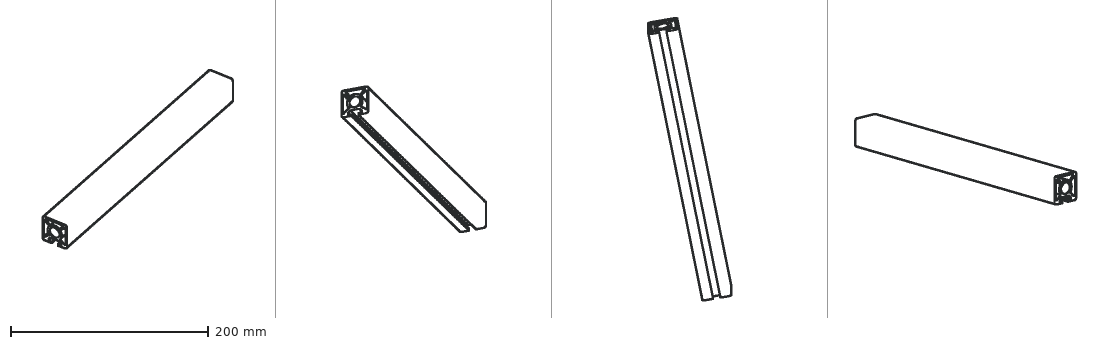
import cadquery as cq

length = 300.0
width = 30.0
corner_radius = 3.0
wall = 1.8

bore_radius = 6.0
tube_radius = 8.7

pocket_half_span = 10.5
pocket_flat_end = 1.0
pocket_depth = 8.5
pocket_inner_half_span = 4.5

slot_opening = 7.5
slot_half_width = 7.5
slot_side_height = 2.0
slot_roof_half_width = 5.0
slot_roof_z = -8.7
lip_thickness = 1.8

half_width = width / 2
inner_half = half_width - wall


def prism(outline):
    """Extrude an XZ outline along the full length, centred on Y."""
    return outline.extrude(length / 2, both=True)


def make_tube():
    return prism(cq.Workplane("XZ").circle(tube_radius))


def make_pocket(turn):
    """Pocket behind the top wall, turned about Y by the given angle."""
    taper_start = inner_half - pocket_flat_end
    pocket_bottom = inner_half - pocket_depth
    right_side = [
        (pocket_half_span, inner_half),
        (pocket_half_span, taper_start),
        (pocket_inner_half_span, pocket_bottom),
    ]
    left_side = [(-x, z) for x, z in reversed(right_side)]
    pocket = prism(cq.Workplane("XZ").polyline(right_side + left_side).close())
    return pocket.cut(make_tube()).rotate((0, 0, 0), (0, 1, 0), turn)


def make_slot():
    """T-slot with sloping shoulders, open through the bottom face."""
    slot_floor = lip_thickness - half_width
    shoulder = slot_floor + slot_side_height
    right_side = [
        (slot_opening / 2, -half_width),
        (slot_opening / 2, slot_floor),
        (slot_half_width, slot_floor),
        (slot_half_width, shoulder),
        (slot_roof_half_width, slot_roof_z),
    ]
    left_side = [(-x, z) for x, z in reversed(right_side)]
    return prism(cq.Workplane("XZ").polyline(right_side + left_side).close())


result = cq.Workplane("XY").box(width, length, width).edges("|Y").fillet(corner_radius)
for turn in (-90, 0, 90):
    result = result.cut(make_pocket(turn))
result = result.cut(prism(cq.Workplane("XZ").circle(bore_radius)))
result = result.cut(make_slot())